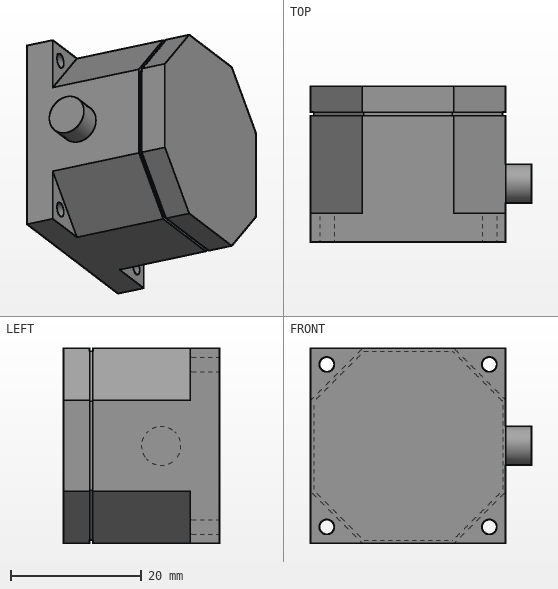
import cadquery as cq
import math

side = 30.02
depth = 24.0
plate_thickness = 4.5
corner_cut = 8.0
cap_thickness = 4.0
groove_width = 0.5
groove_depth = 0.48
hole_spacing = 25.0
hole_diameter = 2.25
connector_diameter = 6.02
connector_length = 3.98
connector_y = 9.0

groove_start = depth - cap_thickness - groove_width


def square_block(size, y_start, length):
    """Square block centred on the Y axis, reaching from y_start toward +Y."""
    block = cq.Workplane("XY").box(size, length, size, centered=(True, False, True))
    return block.translate((0, y_start, 0))


def octagon_block(inset, y_start, length):
    """Corner-cut block with every face moved inward by inset."""
    block = square_block(side - 2 * inset, y_start, length)
    leg = corner_cut - inset * (2 - math.sqrt(2))
    return block.edges("|Y").chamfer(leg)


plate = square_block(side, 0, plate_thickness)
holes = (
    cq.Workplane("XZ")
    .rect(hole_spacing, hole_spacing, forConstruction=True)
    .vertices()
    .circle(hole_diameter / 2)
    .extrude(-plate_thickness)
)
plate = plate.cut(holes)

body = octagon_block(0, plate_thickness, groove_start - plate_thickness)
neck = octagon_block(groove_depth, groove_start, groove_width)
cap = octagon_block(0, depth - cap_thickness, cap_thickness)

connector = (
    cq.Workplane("YZ", origin=(side / 2, 0, 0))
    .center(connector_y, 0)
    .circle(connector_diameter / 2)
    .extrude(connector_length)
)

result = plate.union(body).union(neck).union(cap).union(connector)